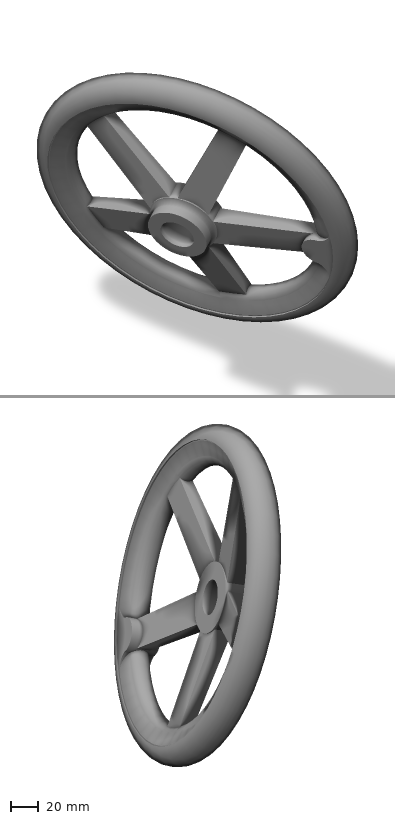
import cadquery as cq
import math

outer_diameter = 250.0
grip_diameter = 26.0
grip_radius = grip_diameter / 2
grip_centre_radius = outer_diameter / 2 - grip_radius
step_depth = 1.2
step_width = 0.7
web_edge_radius = 100.7
web_edge_half_width = 7.5
rim_inner_radius = 95.0

overall_depth = 50.0
hub_front_y = grip_radius - overall_depth
hub_nose_diameter = 46.0
hub_body_diameter = 52.5
bore_diameter = 26.0
nose_length = 7.5
flare_length = 4.2
hub_back_y = -10.0

spoke_count = 5
spoke_start_radius = 17.5
spoke_end_radius = 97.5
spoke_start_front_y = -26.5
spoke_end_front_y = -4.5
spoke_start_thickness = 13.7
spoke_end_thickness = 10.0
spoke_start_width = 25.5
spoke_end_width = 22.5

pad_radius = 13.0
pad_centre_x = 99.7
pad_flare_height = 27.2
pad_flare_end_x = 108.0
pad_half_depth = grip_radius - step_depth


def revolve_about_y(profile):
    return profile.close().revolve(360, (0, 0, 0), (0, 1, 0))


def make_rim():
    step_radius = grip_centre_radius - step_width
    step_y = grip_radius - step_depth
    return revolve_about_y(
        cq.Workplane("XY")
        .moveTo(grip_centre_radius, -grip_radius)
        .threePointArc((outer_diameter / 2, 0), (grip_centre_radius, grip_radius))
        .lineTo(grip_centre_radius, step_y)
        .lineTo(step_radius, step_y)
        .lineTo(web_edge_radius, web_edge_half_width)
        .threePointArc((rim_inner_radius, 0), (web_edge_radius, -web_edge_half_width))
        .lineTo(step_radius, -step_y)
        .lineTo(grip_centre_radius, -step_y)
    )


def make_hub():
    nose_radius = hub_nose_diameter / 2
    body_radius = hub_body_diameter / 2
    nose_end_y = hub_front_y + nose_length
    flare_end_y = nose_end_y + flare_length
    flare_mid = (
        body_radius - (body_radius - nose_radius) * math.cos(math.pi / 4),
        nose_end_y + flare_length * math.sin(math.pi / 4),
    )
    return revolve_about_y(
        cq.Workplane("XY")
        .moveTo(0, hub_front_y)
        .lineTo(nose_radius, hub_front_y)
        .lineTo(nose_radius, nose_end_y)
        .threePointArc(flare_mid, (body_radius, flare_end_y))
        .lineTo(body_radius, hub_back_y)
        .lineTo(0, hub_back_y)
    )


def spoke_section(workplane, front_y, thickness, width):
    return workplane.center(front_y + thickness / 2, 0).rect(thickness, width)


def make_spoke(angle):
    start = cq.Workplane("YZ", origin=(spoke_start_radius, 0, 0))
    start = spoke_section(start, spoke_start_front_y, spoke_start_thickness, spoke_start_width)
    end = start.workplane(offset=spoke_end_radius - spoke_start_radius)
    start_centre_y = spoke_start_front_y + spoke_start_thickness / 2
    end = spoke_section(
        end, spoke_end_front_y - start_centre_y, spoke_end_thickness, spoke_end_width
    )
    return end.loft(ruled=True).rotate((0, 0, 0), (0, 1, 0), angle)


def make_handle_pad():
    flare_mid_x = pad_centre_x + (pad_flare_end_x - pad_centre_x) * math.sin(math.pi / 4)
    flare_mid_z = pad_flare_height - (pad_flare_height - pad_radius) * math.cos(math.pi / 4)
    return (
        cq.Workplane("XZ")
        .moveTo(pad_centre_x, -pad_radius)
        .threePointArc((pad_centre_x - pad_radius, 0), (pad_centre_x, pad_radius))
        .threePointArc((flare_mid_x, flare_mid_z), (pad_flare_end_x, pad_flare_height))
        .threePointArc((grip_centre_radius - step_width, 0), (pad_flare_end_x, -pad_flare_height))
        .threePointArc((flare_mid_x, -flare_mid_z), (pad_centre_x, -pad_radius))
        .close()
        .extrude(pad_half_depth, both=True)
    )


result = make_rim().union(make_hub()).union(make_handle_pad())
for index in range(spoke_count):
    result = result.union(make_spoke(index * 360 / spoke_count))

bore = cq.Workplane("XZ").circle(bore_diameter / 2).extrude(overall_depth, both=True)
result = result.cut(bore)